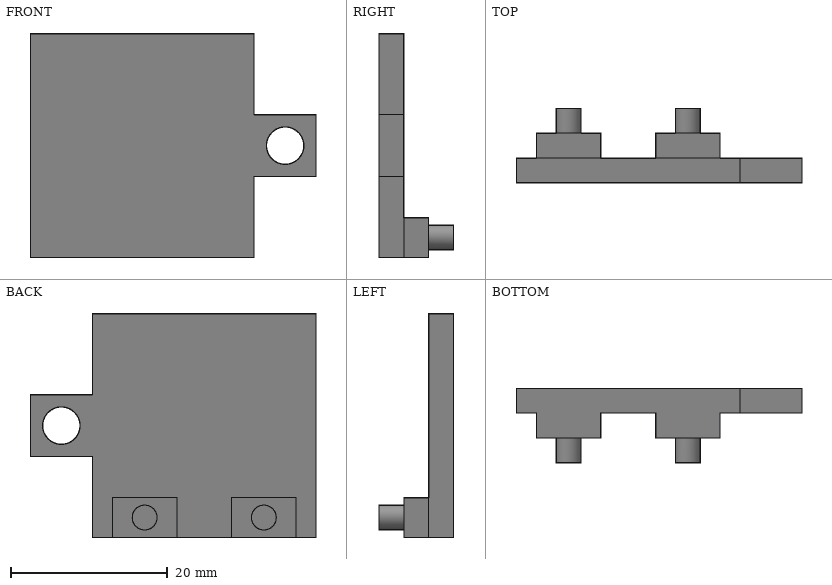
import cadquery as cq

plate_side = 28.6
thickness = 3.18

total_length = 36.5
tab_side = total_length - plate_side
tab_hole_diameter = 4.75

block_width = 8.25
block_height = 5.1
block_depth = thickness
block_margin = 2.55
pin_diameter = 3.18
pin_length = thickness


def box(x, y, z, width, depth, height):
    """Box with its lowest corner at (x, y, z)."""
    return cq.Workplane("XY").box(width, depth, height, centered=False).translate((x, y, z))


def rod(x, y, z, diameter, length):
    """Cylinder starting at (x, y, z) and running along +Y."""
    axis_start = cq.Vector(x, y, z)
    axis_direction = cq.Vector(0, 1, 0)
    return cq.Workplane(cq.Solid.makeCylinder(diameter / 2, length, axis_start, axis_direction))


def plate_with_tab():
    plate = box(0, 0, 0, plate_side, thickness, plate_side)
    tab = box(plate_side, 0, (plate_side - tab_side) / 2, tab_side, thickness, tab_side)
    hole = rod(plate_side + tab_side / 2, 0, plate_side / 2, tab_hole_diameter, thickness)
    return plate.union(tab).cut(hole)


def pinned_block(x):
    block = box(x, thickness, 0, block_width, block_depth, block_height)
    pin_start = thickness + block_depth
    pin = rod(x + block_width / 2, pin_start, block_height / 2, pin_diameter, pin_length)
    return block.union(pin)


result = plate_with_tab()
for block_x in (block_margin, plate_side - block_margin - block_width):
    result = result.union(pinned_block(block_x))